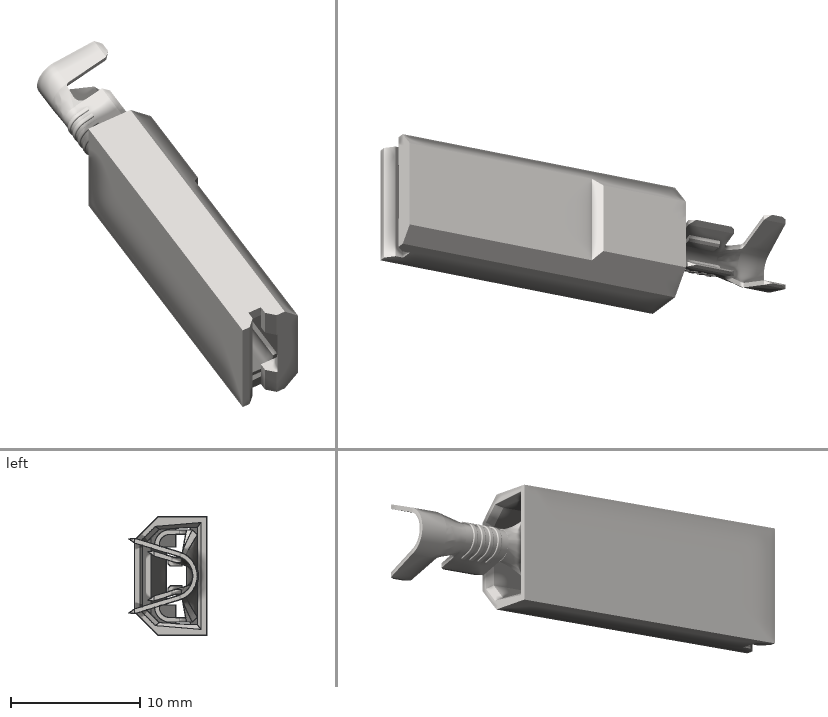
import cadquery as cq
import math

total_length = 32.85
housing_start = 9.13
housing_half_height = 4.6
side_depth = 3.78
rear_depth = 5.6
low_rear_depth = 4.95
step_start = 16.32
step_end = 16.98

front_wall = 0.72
rear_wall = 0.65
cavity_front_half = 3.78
cavity_side_half = 3.6
cavity_slope_sum = 7.3
cavity_step = 16.1
mouth_wall = 0.45
mouth_front_half = 4.15
mouth_side_half = 3.85
mouth_slope_sum = 7.8
lead_in = 0.6

notch_low = 1.28
notch_high = 2.4
notch_depth = 1.3
notch_flare = 0.65
window_half = 2.23
window_high = 3.12

sheet = 0.35
terminal_bottom = front_wall
leg_angle = math.radians(17)
tip_bevel = 0.45

insulation_radius = 1.95
insulation_end = 2.3
insulation_top = 6.05
leg_foot_height = 2.07
leg_lean = 0.43
leg_shoulder = 0.53

wire_radius = 1.2
wire_start = 4.17
wire_end = 8.15
wire_top = 4.55

neck_height = 1.97
neck_fillet_front = 0.25
neck_fillet_rear = 0.72
wire_fillet = 0.2

rib_count = 4
rib_start = 4.83
rib_pitch = 0.75
rib_width = 0.4
rib_height = 0.1
rib_top = 2.35
rib_round = 0.082

pad_low = 1.9
pad_high = 3.02
pad_half_gap = 0.75
pad_chamfer = 0.2

flare_middle = housing_start
flare_middle_half = 1.58
floor_share = 0.85
receptacle_start = 11.15
receptacle_end = 31.2
receptacle_half = 3.58
receptacle_floor = 1.58
receptacle_corner = 0.4
curl_radius = 1.18
curl_top = 4.05
front_edge_radius = 0.53


def section_plane(x):
    """Plane across the part at x, with local x along Y and local y along Z."""
    return cq.Workplane("YZ", origin=(x, 0, 0))


def mirrored(half):
    """Close a half outline of (y, z) points with its mirror image in Z."""
    return half + [(y, -z) for y, z in reversed(half)]


def housing_block():
    far_half = housing_half_height + side_depth - rear_depth
    section = mirrored([
        (0, housing_half_height),
        (side_depth, housing_half_height),
        (rear_depth, far_half),
    ])
    block = section_plane(housing_start).polyline(section).close().extrude(total_length - housing_start)
    step = (
        cq.Workplane("XY")
        .moveTo(step_start, rear_depth)
        .lineTo(step_end, low_rear_depth)
        .lineTo(total_length, low_rear_depth)
        .lineTo(total_length, rear_depth)
        .close()
        .extrude(housing_half_height, both=True)
    )
    return block.cut(step)


def cavity_outline(near, far, front_half, side_half, slope_sum):
    return mirrored([
        (near, front_half),
        (slope_sum - side_half, side_half),
        (far, slope_sum - far),
    ])


def cavity():
    far_end = total_length - notch_depth
    cavity_sides = (cavity_front_half, cavity_side_half, cavity_slope_sum)
    inner = (front_wall, rear_depth - rear_wall, *cavity_sides)
    low_inner = (front_wall, low_rear_depth - rear_wall, *cavity_sides)
    mouth = (mouth_wall, rear_depth - mouth_wall, mouth_front_half, mouth_side_half, mouth_slope_sum)
    tall = (
        section_plane(housing_start)
        .polyline(cavity_outline(*inner)).close()
        .extrude(cavity_step - housing_start)
    )
    low = (
        section_plane(housing_start)
        .polyline(cavity_outline(*low_inner)).close()
        .extrude(far_end - housing_start)
    )
    entry = (
        section_plane(housing_start)
        .polyline(cavity_outline(*mouth)).close()
        .workplane(offset=lead_in)
        .polyline(cavity_outline(*inner)).close()
        .loft(ruled=True)
    )
    return tall.union(low).union(entry)


def tab_notch():
    floor = total_length - notch_depth
    flare_start = total_length - notch_flare
    return (
        cq.Workplane("XY")
        .moveTo(floor, notch_low)
        .lineTo(flare_start, notch_low)
        .lineTo(total_length, notch_low - notch_flare)
        .lineTo(total_length, notch_high + notch_flare)
        .lineTo(flare_start, notch_high)
        .lineTo(floor, notch_high)
        .close()
        .extrude(housing_half_height, both=True)
    )


def end_window():
    floor = total_length - notch_depth
    return (
        cq.Workplane("XY")
        .moveTo(floor, notch_low)
        .lineTo(floor, low_rear_depth - rear_wall)
        .lineTo(total_length, window_high)
        .lineTo(total_length, notch_low)
        .close()
        .extrude(window_half, both=True)
    )


def make_housing():
    return housing_block().cut(cavity()).cut(tab_notch()).cut(end_window())


def leg_point(radius, inset, height):
    """Point (y, z) on a leg's outer line moved in by inset, at the given height."""
    center = terminal_bottom + radius
    half = (radius - inset) / math.cos(leg_angle) + (height - center) * math.tan(leg_angle)
    return (height, half)


def foot_point(radius, inset):
    """Point (y, z) where the round bottom runs into the leg."""
    center = terminal_bottom + radius
    arm = radius - inset
    return (center - arm * math.sin(leg_angle), arm * math.cos(leg_angle))


def flip(point):
    return (point[0], -point[1])


def barrel(radius, start, end, top):
    """Open U barrel whose leaning legs end in a two-sided bevel."""
    shoulder = top - tip_bevel
    outer_foot = foot_point(radius, 0)
    inner_foot = foot_point(radius, sheet)
    outer_top = leg_point(radius, 0, shoulder)
    tip = leg_point(radius, sheet / 2, top)
    inner_top = leg_point(radius, sheet, shoulder)
    return (
        section_plane(start)
        .moveTo(*tip)
        .lineTo(*outer_top)
        .lineTo(*outer_foot)
        .threePointArc((terminal_bottom, 0), flip(outer_foot))
        .lineTo(*flip(outer_top))
        .lineTo(*flip(tip))
        .lineTo(*flip(inner_top))
        .lineTo(*flip(inner_foot))
        .threePointArc((terminal_bottom + sheet, 0), inner_foot)
        .lineTo(*inner_top)
        .close()
        .extrude(end - start)
    )


def insulation_barrel():
    shoulder = insulation_top - tip_bevel
    leg_outline = (
        cq.Workplane("XY")
        .lineTo(0, leg_foot_height)
        .lineTo(leg_lean, shoulder)
        .lineTo(leg_lean + leg_shoulder, insulation_top)
        .lineTo(insulation_end - tip_bevel, insulation_top)
        .lineTo(insulation_end, shoulder)
        .lineTo(insulation_end, 0)
        .close()
        .extrude(housing_half_height, both=True)
    )
    return barrel(insulation_radius, 0, insulation_end, insulation_top).intersect(leg_outline)


def wire_barrel():
    shoulder = wire_top - tip_bevel
    leg_outline = (
        cq.Workplane("XY")
        .moveTo(wire_start, 0)
        .lineTo(wire_start, shoulder)
        .lineTo(wire_start + tip_bevel, wire_top)
        .lineTo(wire_end - tip_bevel, wire_top)
        .lineTo(wire_end, shoulder)
        .lineTo(wire_end, neck_height + wire_fillet)
        .radiusArc((wire_end + wire_fillet, neck_height), -wire_fillet)
        .lineTo(wire_end + wire_fillet, 0)
        .close()
        .extrude(housing_half_height, both=True)
    )
    whole = barrel(wire_radius, wire_start, wire_end + wire_fillet, wire_top)
    return whole.intersect(leg_outline)


def neck_section(plane, radius):
    height = neck_height + neck_fillet_rear
    outer_foot = foot_point(radius, 0)
    inner_foot = foot_point(radius, sheet)
    outer_top = leg_point(radius, 0, height)
    inner_top = leg_point(radius, sheet, height)
    return (
        plane.moveTo(*outer_top)
        .lineTo(*outer_foot)
        .threePointArc((terminal_bottom, 0), flip(outer_foot))
        .lineTo(*flip(outer_top))
        .lineTo(*flip(inner_top))
        .lineTo(*flip(inner_foot))
        .threePointArc((terminal_bottom + sheet, 0), inner_foot)
        .lineTo(*inner_top)
        .close()
    )


def neck():
    """Tapered sheet between the two barrels, cut down between their legs."""
    start = neck_section(section_plane(insulation_end), insulation_radius)
    taper = neck_section(start.workplane(offset=wire_start - insulation_end), wire_radius).loft(ruled=True)
    window = (
        cq.Workplane("XY")
        .moveTo(insulation_end, insulation_top)
        .lineTo(insulation_end, neck_height + neck_fillet_front)
        .radiusArc((insulation_end + neck_fillet_front, neck_height), -neck_fillet_front)
        .lineTo(wire_start - neck_fillet_rear, neck_height)
        .radiusArc((wire_start, neck_height + neck_fillet_rear), -neck_fillet_rear)
        .lineTo(wire_start, insulation_top)
        .close()
        .extrude(housing_half_height, both=True)
    )
    return taper.cut(window)


def crimp_rib(start):
    """Raised band around the outside of the wire barrel."""
    outer_foot = foot_point(wire_radius, -rib_height)
    inner_foot = foot_point(wire_radius, sheet / 2)
    outer_top = leg_point(wire_radius, -rib_height, rib_top)
    inner_top = leg_point(wire_radius, sheet / 2, rib_top)
    return (
        section_plane(start)
        .moveTo(*outer_top)
        .lineTo(*outer_foot)
        .threePointArc((terminal_bottom - rib_height, 0), flip(outer_foot))
        .lineTo(*flip(outer_top))
        .lineTo(*flip(inner_top))
        .lineTo(*flip(inner_foot))
        .threePointArc((terminal_bottom + sheet / 2, 0), inner_foot)
        .lineTo(*inner_top)
        .close()
        .extrude(rib_width)
        .faces("<X or >X").edges()
        .fillet(rib_round)
    )


def grip_pads():
    """Pads on the inner faces of both wire legs, along the ribbed stretch."""
    length = (rib_count - 1) * rib_pitch + rib_width
    low_leg = leg_point(wire_radius, sheet / 2, pad_low)
    high_leg = leg_point(wire_radius, sheet / 2, pad_high)
    upper_pad = (
        section_plane(rib_start)
        .moveTo(*low_leg)
        .lineTo(pad_low, pad_half_gap)
        .lineTo(pad_high - pad_chamfer, pad_half_gap)
        .lineTo(pad_high, pad_half_gap + pad_chamfer)
        .lineTo(*high_leg)
        .close()
        .extrude(length)
    )
    return upper_pad.union(upper_pad.mirror("XY"))


def round_flare_section(x, half):
    """U section of the flare, its bottom split into three arcs."""
    inner_half = half - sheet
    rise = neck_height - terminal_bottom
    radius = (half**2 + rise**2) / (2 * rise)
    center = terminal_bottom + radius

    def on_bottom(fraction):
        angle = fraction * math.atan2(half, radius - rise)
        return (center - radius * math.cos(angle), radius * math.sin(angle))

    section = (
        section_plane(x)
        .moveTo(neck_height, inner_half)
        .lineTo(neck_height, half)
        .threePointArc(on_bottom((1 + floor_share) / 2), on_bottom(floor_share))
        .threePointArc((terminal_bottom, 0), on_bottom(-floor_share))
        .threePointArc(on_bottom(-(1 + floor_share) / 2), (neck_height, -half))
        .lineTo(neck_height, -inner_half)
        .threePointArc((terminal_bottom + sheet, 0), (neck_height, inner_half))
    )
    return section.wire().val()


def flat_flare_section(x):
    """Flat end of the flare, matching the floor of the receptacle."""
    corner_z = receptacle_half - receptacle_corner
    corner_y = terminal_bottom + receptacle_corner
    outline = mirrored([
        (receptacle_floor, receptacle_half),
        (corner_y, receptacle_half),
        (terminal_bottom, corner_z),
    ])
    return section_plane(x).polyline(outline).close().wire().val()


def flare():
    """Sheet widening from the wire barrel to the receptacle."""
    first_half = leg_point(wire_radius, 0, neck_height)[1]
    sections = [
        round_flare_section(wire_end, first_half),
        round_flare_section(flare_middle, flare_middle_half),
        flat_flare_section(receptacle_start),
    ]
    return cq.Workplane(cq.Solid.makeLoft(sections))


def receptacle():
    """Flat floor with both edges rolled back over it."""
    arc_y = curl_top - curl_radius
    arc_z = receptacle_half - curl_radius
    diagonal = math.sqrt(0.5)
    inner_radius = curl_radius - sheet
    corner_z = receptacle_half - receptacle_corner
    corner_y = terminal_bottom + receptacle_corner
    inner_half = receptacle_half - sheet
    inner_top = curl_top - sheet
    outer_mid = (arc_y + curl_radius * diagonal, arc_z + curl_radius * diagonal)
    inner_mid = (arc_y + inner_radius * diagonal, arc_z + inner_radius * diagonal)
    body = (
        section_plane(receptacle_start)
        .moveTo(terminal_bottom, corner_z)
        .lineTo(corner_y, receptacle_half)
        .lineTo(arc_y, receptacle_half)
        .threePointArc(outer_mid, (curl_top, arc_z))
        .lineTo(curl_top, window_half)
        .lineTo(inner_top, window_half)
        .lineTo(inner_top, arc_z)
        .threePointArc(inner_mid, (arc_y, inner_half))
        .lineTo(receptacle_floor, inner_half)
        .lineTo(receptacle_floor, -inner_half)
        .lineTo(arc_y, -inner_half)
        .threePointArc(flip(inner_mid), (inner_top, -arc_z))
        .lineTo(inner_top, -window_half)
        .lineTo(curl_top, -window_half)
        .lineTo(curl_top, -arc_z)
        .threePointArc(flip(outer_mid), (arc_y, -receptacle_half))
        .lineTo(corner_y, -receptacle_half)
        .lineTo(terminal_bottom, -corner_z)
        .close()
        .extrude(receptacle_end - receptacle_start)
    )
    set_back = (
        cq.Workplane("XY")
        .moveTo(receptacle_start, receptacle_floor)
        .radiusArc(
            (receptacle_start + front_edge_radius, receptacle_floor + front_edge_radius), -front_edge_radius
        )
        .lineTo(receptacle_start + front_edge_radius, rear_depth)
        .lineTo(receptacle_start, rear_depth)
        .close()
        .extrude(housing_half_height, both=True)
    )
    return body.cut(set_back)


def make_terminal():
    terminal = insulation_barrel().union(neck()).union(wire_barrel())
    terminal = terminal.union(flare()).union(receptacle()).union(grip_pads())
    for index in range(rib_count):
        terminal = terminal.union(crimp_rib(rib_start + index * rib_pitch))
    return terminal


housing = make_housing()
terminal = make_terminal()

result = cq.Compound.makeCompound([housing.solids().val(), terminal.solids().val()])